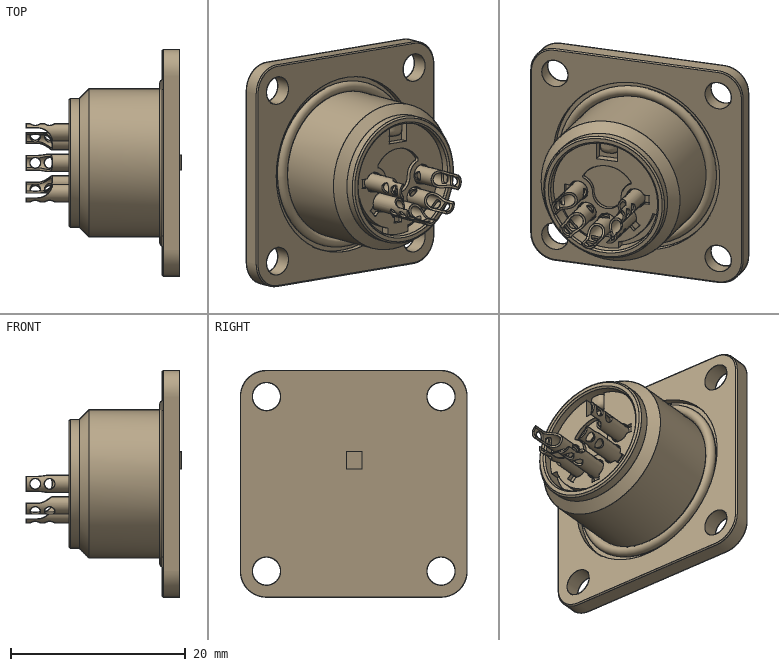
import cadquery as cq
import math


FLANGE_SIDE = 26.0
FLANGE_THICKNESS = 2.0
FLANGE_CORNER_RADIUS = 3.0
FLANGE_CHAMFER = 0.15
MOUNT_HOLE_DIAMETER = 3.2
MOUNT_HOLE_SPACING = 20.0
EMBLEM_WIDTH = 1.75
EMBLEM_HEIGHT = 2.0
EMBLEM_RELIEF = 0.2
EMBLEM_CENTER = (0.05, 2.7)

GROOVE_DIAMETER = 20.4
SEAL_SECTION_DIAMETER = 1.2
SEAL_SQUEEZE = 0.1
SEAL_PROTRUSION = 0.3
SEAL_SEATING = 0.1

SHELL_DIAMETER = 17.0
NOSE_DIAMETER = 14.8
NOSE_LENGTH = 1.2
SHELL_LENGTH = 12.7
BORE_DIAMETER = 13.1
RIM_CHAMFER = 0.2
SHELL_BEVEL = (SHELL_DIAMETER - NOSE_DIAMETER) / 2
SHELL_END_X = -SHELL_LENGTH

INSERT_SETBACK = 1.1
INSERT_FACE_X = SHELL_END_X + INSERT_SETBACK
LEDGE_RADIUS = 5.85
LEDGE_TOP_Z = -1.65
LEDGE_DEPTH = 1.0
TAB_WIDTH = 2.9
CENTER_RECESS_DEPTH = 0.5
CENTER_RECESS_CORNER = 0.2

WINDOW_WIDTH = 2.55
WINDOW_BOTTOM_Z = 4.2
WINDOW_DEPTH = 1.0
KEY_WIDTH = 2.3
KEY_SIDE_RADIUS = 0.9
KEY_BOTTOM_Z = 4.83
KEY_END_RADIUS = 0.7
KEY_SETBACK = 0.1

PIN_COUNT = 5
PIN_STEP_ANGLE = 45.0
PIN_CIRCLE_RADIUS = 3.5
PIN_RADIUS = 1.0
PIN_BORE_DIAMETER = 1.5
PIN_TIP_X = -17.6
PIN_ROOT_DEPTH = 1.0
CUP_WALL_OFFSET = 0.5
CUP_STRAIGHT_LENGTH = 1.3
CUP_SWEEP_RADIUS = 1.75
WIRE_HOLE_DIAMETER = 1.2
WIRE_HOLE_DISTANCES = (1.05, 2.7)
VENT_HOLE_DIAMETER = 1.0
VENT_HOLE_DISTANCE = 5.5
PIN_SEAT_DIAMETER = 2.3
PIN_SEAT_DEPTH = 0.5
PIN_SLOT_WIDTH = 1.05
PIN_SLOT_END_RADIUS = 5.18


def plane_at(x):
    """Work plane across the socket axis; its local axes are Y and Z."""
    return cq.Workplane("YZ", origin=(x, 0, 0))


def make_flange():
    flange = plane_at(-FLANGE_THICKNESS).rect(FLANGE_SIDE, FLANGE_SIDE).extrude(FLANGE_THICKNESS)
    flange = flange.edges("|X").fillet(FLANGE_CORNER_RADIUS)
    flange = flange.faces("<X").chamfer(FLANGE_CHAMFER)
    mount_holes = (
        plane_at(-FLANGE_THICKNESS)
        .rect(MOUNT_HOLE_SPACING, MOUNT_HOLE_SPACING, forConstruction=True)
        .vertices()
        .circle(MOUNT_HOLE_DIAMETER / 2)
        .extrude(FLANGE_THICKNESS)
    )
    groove_depth = SEAL_SECTION_DIAMETER - SEAL_PROTRUSION - SEAL_SEATING
    groove = (
        plane_at(-FLANGE_THICKNESS)
        .circle(GROOVE_DIAMETER / 2)
        .circle(SHELL_DIAMETER / 2)
        .extrude(groove_depth)
    )
    emblem = plane_at(0).center(*EMBLEM_CENTER).rect(EMBLEM_WIDTH, EMBLEM_HEIGHT).extrude(EMBLEM_RELIEF)
    return flange.cut(mount_holes).cut(groove).union(emblem)


def make_seal_ring():
    section_radius = SEAL_SECTION_DIAMETER / 2
    ring_radius = (SHELL_DIAMETER - SEAL_SQUEEZE) / 2 + section_radius
    ring_x = -FLANGE_THICKNESS - SEAL_PROTRUSION + section_radius
    return cq.Workplane("XY").add(
        cq.Solid.makeTorus(ring_radius, section_radius, cq.Vector(ring_x, 0, 0), cq.Vector(1, 0, 0))
    )


def make_shell():
    """Shell with a bevelled shoulder, filled by the insert up to the insert face."""
    bore_radius = BORE_DIAMETER / 2
    nose_radius = NOSE_DIAMETER / 2
    shell_radius = SHELL_DIAMETER / 2
    shoulder_x = SHELL_END_X + NOSE_LENGTH
    return (
        cq.Workplane("XY")
        .moveTo(0, 0)
        .lineTo(INSERT_FACE_X, 0)
        .lineTo(INSERT_FACE_X, bore_radius)
        .lineTo(SHELL_END_X + RIM_CHAMFER, bore_radius)
        .lineTo(SHELL_END_X, bore_radius + RIM_CHAMFER)
        .lineTo(SHELL_END_X, nose_radius - RIM_CHAMFER)
        .lineTo(SHELL_END_X + RIM_CHAMFER, nose_radius)
        .lineTo(shoulder_x, nose_radius)
        .lineTo(shoulder_x + SHELL_BEVEL, shell_radius)
        .lineTo(0, shell_radius)
        .close()
        .revolve(360, (0, 0, 0), (1, 0, 0))
    )


def bore_cylinder(depth):
    return plane_at(INSERT_FACE_X).circle(BORE_DIAMETER / 2).extrude(depth)


def make_ledges():
    """Two curved steps along the lower rim of the insert, parted by a tab."""
    core = plane_at(INSERT_FACE_X).circle(LEDGE_RADIUS).extrude(LEDGE_DEPTH)
    upper_part = (
        plane_at(INSERT_FACE_X)
        .center(0, LEDGE_TOP_Z + BORE_DIAMETER / 2)
        .rect(BORE_DIAMETER, BORE_DIAMETER)
        .extrude(LEDGE_DEPTH)
    )
    tab = (
        plane_at(INSERT_FACE_X)
        .center(0, -BORE_DIAMETER / 2)
        .rect(TAB_WIDTH, BORE_DIAMETER)
        .extrude(LEDGE_DEPTH)
    )
    return bore_cylinder(LEDGE_DEPTH).cut(core).cut(upper_part).cut(tab)


def make_center_recess():
    """Keyhole-shaped recess whose flanks curve around the two uppermost pins."""
    waist = PIN_CIRCLE_RADIUS / 2
    flank_angle = math.asin(waist / 2 / PIN_CIRCLE_RADIUS) * 2
    corner_y = PIN_CIRCLE_RADIUS * math.cos(flank_angle)
    corner_z = PIN_CIRCLE_RADIUS * math.sin(flank_angle)
    flank_y = PIN_CIRCLE_RADIUS - waist * math.cos(math.pi / 4)
    flank_z = waist * math.sin(math.pi / 4)
    recess = (
        plane_at(INSERT_FACE_X)
        .moveTo(waist, 0)
        .threePointArc((flank_y, flank_z), (corner_y, corner_z))
        .threePointArc((0, PIN_CIRCLE_RADIUS), (-corner_y, corner_z))
        .threePointArc((-flank_y, flank_z), (-waist, 0))
        .threePointArc((0, -waist), (waist, 0))
        .close()
        .extrude(CENTER_RECESS_DEPTH)
    )
    corners = cq.selectors.BoxSelector(
        (INSERT_FACE_X, -PIN_CIRCLE_RADIUS, waist / 2),
        (INSERT_FACE_X + CENTER_RECESS_DEPTH, PIN_CIRCLE_RADIUS, PIN_CIRCLE_RADIUS),
    )
    return recess.edges("|X").edges(corners).fillet(CENTER_RECESS_CORNER)


def make_window():
    opening = (
        plane_at(INSERT_FACE_X)
        .center(0, WINDOW_BOTTOM_Z + BORE_DIAMETER / 2)
        .rect(WINDOW_WIDTH, BORE_DIAMETER)
        .extrude(WINDOW_DEPTH)
    )
    return opening.intersect(bore_cylinder(WINDOW_DEPTH))


def make_key():
    """Rounded key hanging from the shell wall inside the window."""
    front_x = INSERT_FACE_X + KEY_SETBACK
    key_depth = KEY_WIDTH / 2
    key_length = (BORE_DIAMETER + NOSE_DIAMETER) / 4 - KEY_BOTTOM_Z
    key = (
        cq.Workplane("XY", origin=(front_x + key_depth / 2, 0, KEY_BOTTOM_Z))
        .rect(key_depth, KEY_WIDTH)
        .extrude(key_length)
    )
    key = key.faces("<X").edges("|Z").fillet(KEY_SIDE_RADIUS)
    return key.faces("<X").edges("<Z").fillet(KEY_END_RADIUS)


def pin_angles():
    """Rotation of each pin about X from the lowest position."""
    middle = (PIN_COUNT - 1) / 2
    return [(index - middle) * PIN_STEP_ANGLE for index in range(PIN_COUNT)]


def at_each_pin(feature):
    """Copies a feature made for the lowest pin to every pin position."""
    copies = cq.Workplane("XY")
    for angle in pin_angles():
        copies = copies.add(feature.rotate((0, 0, 0), (1, 0, 0), angle))
    return copies.combine()


def make_pin_seat():
    """Clearance around the lowest pin with a slot running outward."""
    seat = (
        plane_at(INSERT_FACE_X)
        .center(0, -PIN_CIRCLE_RADIUS)
        .circle(PIN_SEAT_DIAMETER / 2)
        .extrude(PIN_SEAT_DEPTH)
    )
    slot_length = PIN_SLOT_END_RADIUS - PIN_CIRCLE_RADIUS
    slot = (
        plane_at(INSERT_FACE_X)
        .center(0, -PIN_CIRCLE_RADIUS - slot_length / 2)
        .rect(PIN_SLOT_WIDTH, slot_length)
        .extrude(PIN_SEAT_DEPTH)
    )
    return seat.union(slot)


def make_cup_opening():
    """Removes the inward side of the lowest pin to leave an open solder cup."""
    wall_z = -PIN_CIRCLE_RADIUS - CUP_WALL_OFFSET
    sweep_x = PIN_TIP_X + CUP_STRAIGHT_LENGTH
    sweep_middle_x = sweep_x + CUP_SWEEP_RADIUS * math.sin(math.pi / 4)
    sweep_middle_z = wall_z + CUP_SWEEP_RADIUS * (1 - math.cos(math.pi / 4))
    sweep_end = (sweep_x + CUP_SWEEP_RADIUS, wall_z + CUP_SWEEP_RADIUS)
    return (
        cq.Workplane("XZ")
        .moveTo(PIN_TIP_X, wall_z)
        .lineTo(sweep_x, wall_z)
        .threePointArc((sweep_middle_x, sweep_middle_z), sweep_end)
        .lineTo(PIN_TIP_X, wall_z + CUP_SWEEP_RADIUS)
        .close()
        .extrude(PIN_RADIUS, both=True)
    )


def make_pin():
    """Tubular pin at the lowest position on the pin circle."""
    root_x = INSERT_FACE_X + PIN_ROOT_DEPTH
    axis_z = -PIN_CIRCLE_RADIUS
    pin = plane_at(PIN_TIP_X).center(0, axis_z).circle(PIN_RADIUS).extrude(root_x - PIN_TIP_X)
    bore = (
        plane_at(PIN_TIP_X)
        .center(0, axis_z)
        .circle(PIN_BORE_DIAMETER / 2)
        .extrude(INSERT_FACE_X - PIN_TIP_X)
    )
    pin = pin.cut(bore).cut(make_cup_opening())
    for distance in WIRE_HOLE_DISTANCES:
        outward_hole = (
            cq.Workplane("XY", origin=(PIN_TIP_X + distance, 0, axis_z))
            .circle(WIRE_HOLE_DIAMETER / 2)
            .extrude(-PIN_RADIUS)
        )
        pin = pin.cut(outward_hole)
    inward_hole = (
        cq.Workplane("XY", origin=(PIN_TIP_X + VENT_HOLE_DISTANCE, 0, axis_z))
        .circle(VENT_HOLE_DIAMETER / 2)
        .extrude(PIN_RADIUS)
    )
    return pin.cut(inward_hole)


body = make_flange().union(make_shell()).union(make_seal_ring())
body = body.cut(make_ledges()).cut(make_center_recess()).cut(make_window())
body = body.union(make_key())
body = body.cut(at_each_pin(make_pin_seat()))
result = body.union(at_each_pin(make_pin()))